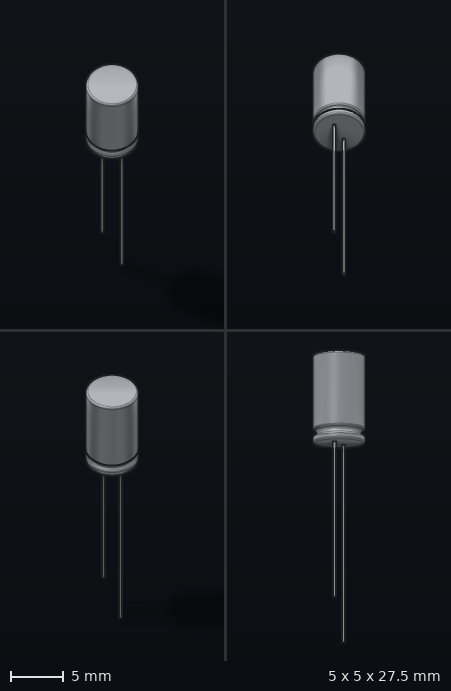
import cadquery as cq

can_diameter = 5.0
can_height = 8.5
rim_fillet = 0.2

groove_height = 1.0
groove_radius = 0.3
groove_edge_fillet = 0.2

lead_diameter = 0.3
lead_pitch = 2.0
short_lead_length = 15.0
long_lead_length = 19.0

can_radius = can_diameter / 2


def make_groove_cutter():
    """Ring of round section, centred on the can wall."""
    return (
        cq.Workplane("XZ")
        .center(can_radius, groove_height)
        .circle(groove_radius)
        .revolve(360, (-can_radius, 0), (-can_radius, 1))
    )


def make_can():
    """Cylinder with rounded rims and a crimp groove with softened edges."""
    can = cq.Workplane("XY").circle(can_radius).extrude(can_height)
    can = can.faces("<Z or >Z").edges().fillet(rim_fillet)
    can = can.cut(make_groove_cutter())
    band_half_height = 2 * groove_radius
    groove_band = cq.selectors.BoxSelector(
        (-can_radius, -can_radius, groove_height - band_half_height),
        (can_radius, can_radius, groove_height + band_half_height),
    )
    return can.edges("%CIRCLE").edges(groove_band).fillet(groove_edge_fillet)


def make_lead(x_position, length):
    """Straight round wire hanging from the base of the can."""
    return cq.Workplane("XY").center(x_position, 0).circle(lead_diameter / 2).extrude(-length)


result = (
    make_can()
    .union(make_lead(-lead_pitch / 2, short_lead_length))
    .union(make_lead(lead_pitch / 2, long_lead_length))
)